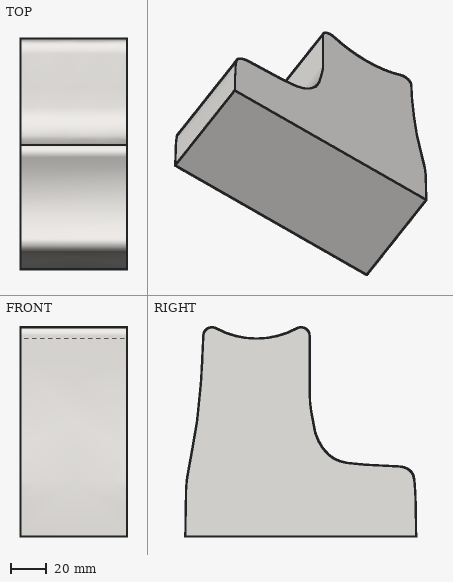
import cadquery as cq
import math

width = 60.0
length = 130.0
height = 117.8

crest_radius = 5.0
saddle_bottom = 111.4
upright_front = 10.1
upright_back = 70.1

upright_back_low = 80.6

toe_and_instep_points = [
    (129.7, 18.2),
    (129.1, 30.5),
    (127.9, 35.4),
    (124.7, 38.4),
    (117.5, 39.6),
    (101.7, 40.4),
    (91.0, 41.5),
    (83.8, 43.8),
    (77.6, 49.5),
    (73.2, 58.5),
    (71.0, 70.2),
]
front_face_points = [
    (8.8, 87.1),
    (6.6, 65.0),
    (3.1, 45.0),
    (0.6, 29.9),
    (0.3, 18.2),
]

crest_height = height - crest_radius
front_crest = upright_front + crest_radius
back_crest = upright_back - crest_radius
saddle_middle = (front_crest + back_crest) / 2
half_span = (back_crest - front_crest) / 2
crest_rise = crest_height - saddle_bottom
saddle_radius = (half_span**2 + crest_rise**2 - crest_radius**2) / (2 * (crest_radius + crest_rise))
saddle_height = saddle_bottom + saddle_radius

tangent_angle = math.atan2(saddle_height - crest_height, half_span)


def crest_point(centre, angle):
    """Point on a crest at an angle measured from +Y towards +Z."""
    return (
        centre + crest_radius * math.cos(angle),
        crest_height + crest_radius * math.sin(angle),
    )


back_crest_start = crest_point(back_crest, 0)
back_crest_middle = crest_point(back_crest, (math.pi - tangent_angle) / 2)
back_crest_end = crest_point(back_crest, math.pi - tangent_angle)
front_crest_start = crest_point(front_crest, tangent_angle)
front_crest_middle = crest_point(front_crest, (math.pi + tangent_angle) / 2)
front_crest_end = crest_point(front_crest, math.pi)

profile = (
    cq.Workplane("YZ", origin=(-width / 2, 0, 0))
    .moveTo(0, 0)
    .lineTo(length, 0)
    .spline(
        toe_and_instep_points + [(upright_back, upright_back_low)],
        tangents=[(0, 1), (0, 1)],
        includeCurrent=True,
    )
    .lineTo(*back_crest_start)
    .threePointArc(back_crest_middle, back_crest_end)
    .threePointArc((saddle_middle, saddle_bottom), front_crest_start)
    .threePointArc(front_crest_middle, front_crest_end)
    .spline(
        front_face_points + [(0, 0)],
        tangents=[(0, -1), (0, -1)],
        includeCurrent=True,
    )
    .close()
)

result = profile.extrude(width)